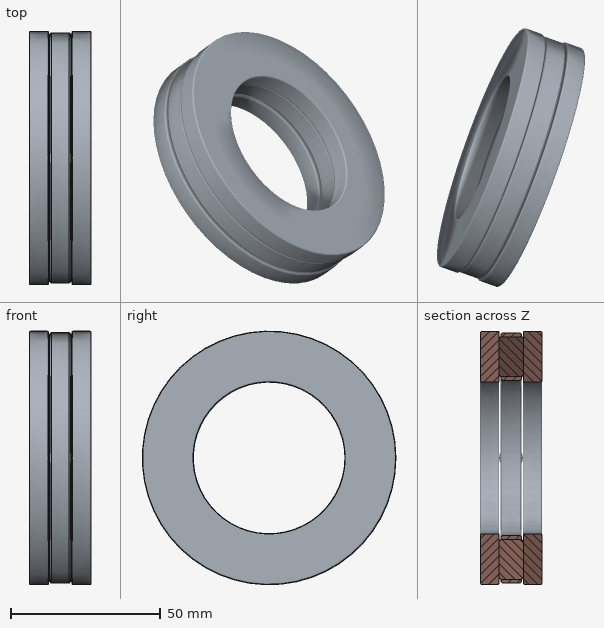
import cadquery as cq

outer_diameter = 84.9
bore_diameter = 50.8
bearing_width = 20.6
edge_radius = 0.5

roller_diameter = 7.9
roller_length = 13.4
roller_mid_radius = 34.0
roller_count = 4

cage_outer_diameter = outer_diameter - 2 * edge_radius
cage_bore_diameter = bore_diameter + 2 * edge_radius
cage_width = 7.1
cage_edge_chamfer = 0.6

washer_width = (bearing_width - roller_diameter) / 2


def make_ring(ring_outer_diameter, ring_bore_diameter, width, center_x):
    """Flat ring about the X axis with sharp edges."""
    return (
        cq.Workplane("YZ", origin=(center_x - width / 2, 0, 0))
        .circle(ring_outer_diameter / 2)
        .circle(ring_bore_diameter / 2)
        .extrude(width)
    )


def make_roller(angle):
    """Round-edged cylinder with a radial axis, turned about X from the +Z direction."""
    return (
        cq.Workplane("XY", origin=(0, 0, roller_mid_radius - roller_length / 2))
        .circle(roller_diameter / 2)
        .extrude(roller_length)
        .faces("<Z or >Z")
        .fillet(edge_radius)
        .rotate((0, 0, 0), (1, 0, 0), angle)
    )


def make_cage(rollers):
    """Ring with chamfered edges and one closely fitting pocket per roller, open on both flat faces."""
    cage = make_ring(cage_outer_diameter, cage_bore_diameter, cage_width, 0)
    cage = cage.edges().chamfer(cage_edge_chamfer)
    for roller in rollers:
        cage = cage.cut(roller)
    return cage


washer_offset = (bearing_width - washer_width) / 2
washers = [
    make_ring(outer_diameter, bore_diameter, washer_width, side * washer_offset).edges().fillet(edge_radius)
    for side in (-1, 1)
]

rollers = [make_roller(index * 360 / roller_count) for index in range(roller_count)]
cage = make_cage(rollers)

result = cq.Compound.makeCompound(
    [body.solids().val() for body in washers + rollers + [cage]]
)